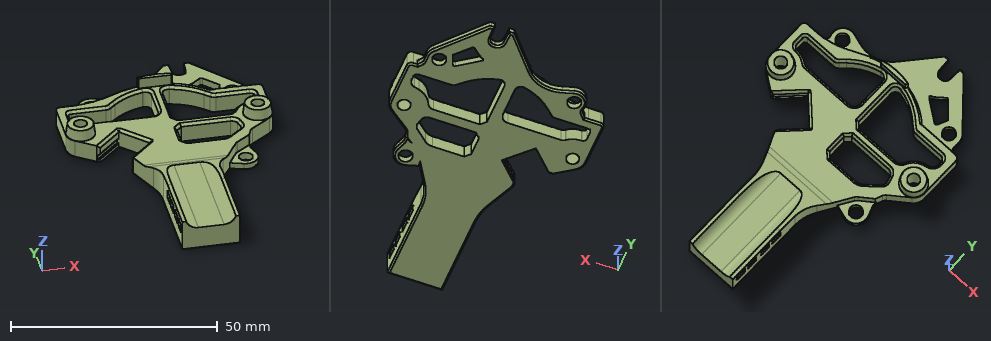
import cadquery as cq
import math

LENGTH = 77.9
WIDTH = 51.2
BODY_TOP = 5.0
PLATE_TOP = 2.0
FOOT_CHAMFER = 0.5
RIM_CHAMFER = 0.7

HALF_WIDTH = WIDTH / 2
SHOULDER_Y = 60.7

BOSS_EDGE_RADIUS = 3.65
BOSS_X = HALF_WIDTH - BOSS_EDGE_RADIUS
BOSS_Y = 48.45
BOSS_TOP = 7.8
BOSS_BASE_RADIUS = 3.6
BOSS_TOP_RADIUS = 3.2
BOSS_HOLE = 3.2
RIGHT_BOSS = (BOSS_X, BOSS_Y)
LEFT_BOSS = (-BOSS_X, BOSS_Y)

LUG_HOLE = 3.4
LUG_RADIUS = 3.3
LEFT_LUG = (-16.1, 64.2)
RIGHT_LUG = (19.0, 64.2)
LOWER_LUG = (16.0, 34.35)

ARCH_CENTRE = (0.0, 48.1)
ARCH_RADIUS = 18.4
ARCH_LEFT_ANGLE = 114
ARCH_RIGHT_ANGLE = 48
ARCH_TOP_LEAN = 0.55
ARCH_FOOT_BLEND = 19.5
ARCH_TOP_SHIFT = (-0.8, -1.8)

WINDOW_ARCH_RADIUS = 16.1
WINDOW_ARCH_OUTER_ANGLE = 47
WINDOW_ARCH_INNER_ANGLE = 78
WINDOW_KINK_RADIUS = 1.95
WINDOW_PEAK_RADIUS = 1.5
WINDOW_SIDE_X = 23.0
WINDOW_SHOULDER_Y = 58.2
BOSS_WALL_RADIUS = 5.85
SPOKE_HALF_WIDTH = 1.4
LEFT_WINDOW_BOTTOM = 52.65
RIGHT_WINDOW_BOTTOM = 49.8
LOWER_WINDOW_TOP = 47.1
LOWER_WINDOW_BOTTOM = 39.4
WINDOW_BEVEL = 1.3

HANDLE_TOP = 8.25
HANDLE_HALF_WIDTH = 7.2
HANDLE_RIGHT_BLEND = 11.45
HANDLE_LEFT_BLEND = 14.0
RAMP_END_Y = 16.9
RAMP_RADIUS = 31.15
RAMP_FOOT_RADIUS = 3.3
TROUGH_FLOOR = 6.15
TROUGH_FLAT_HALF = 3.2
TROUGH_RADIUS = 3.1

TIE_WIDTH = 2.95
TIE_CENTRES_Y = (2.95, 6.9, 11.5, 15.5)
TIE_MOUTH_BOTTOM = 4.45
TIE_MOUTH_TOP = 6.5
TIE_INNER_RADIUS = 10.1

NOTCH_BACK_CENTRE = (-9.35, 44.9)
NOTCH_WIDTH = 8.95
NOTCH_DEPTH = 10.9
NOTCH_ANGLE = -45
GROOVE_DEPTH = 0.5
GROOVE_BOTTOM = 1.0
GROOVE_TOP = 2.0

TAB_TOP = 7.8
TAB_FRONT_Y = 64.8
TAB_HALF_WIDTH = 4.4
TAB_FLARE = 0.3

FORK_X = 8.0
FORK_HALF_WIDTH = 3.1
FORK_MOUTH_HALF = 1.9
FORK_ROOT_HALF = 1.6
FORK_ROOT_Y = 73.0
FORK_ROOT_RADIUS = 1.55
FORK_FLANK_BLEND = 8.9


def polar(centre, radius, angle):
    a = math.radians(angle)
    return centre[0] + radius * math.cos(a), centre[1] + radius * math.sin(a)


def arc_corner(centre, radius, start, end):
    """Rounded corner whose rounding is the arc about `centre` between two angles."""
    reach = radius / math.cos(math.radians(end - start) / 2)
    return (*polar(centre, reach, (start + end) / 2), radius)


def tangent_at_x(centre, radius, angle, x):
    """Point at `x` on the line that touches the circle at `angle`."""
    a = math.radians(angle)
    return x, centre[1] + (radius - (x - centre[0]) * math.cos(a)) / math.sin(a)


def tangent_at_y(centre, radius, angle, y):
    """Point at height `y` on the line that touches the circle at `angle`."""
    a = math.radians(angle)
    return centre[0] + (radius - (y - centre[1]) * math.sin(a)) / math.cos(a), y


def rounded_outline(corners, z=0.0):
    """Closed outline through (x, y, rounding radius) corners; radius 0 keeps a corner sharp."""
    trims = []
    for i, (x, y, radius) in enumerate(corners):
        corner = cq.Vector(x, y)
        back = (cq.Vector(*corners[i - 1][:2]) - corner).normalized()
        ahead = (cq.Vector(*corners[(i + 1) % len(corners)][:2]) - corner).normalized()
        half_angle = back.getAngle(ahead) / 2
        setback = radius / math.tan(half_angle)
        bisector = (back + ahead).normalized()
        middle = corner + bisector * (radius / math.sin(half_angle) - radius)
        trims.append((corner + back * setback, middle, corner + ahead * setback, radius))

    outline = cq.Workplane("XY", origin=(0, 0, z)).moveTo(*trims[0][2].toTuple()[:2])
    for start, middle, end, radius in trims[1:] + trims[:1]:
        outline = outline.lineTo(start.x, start.y)
        if radius > 0:
            outline = outline.threePointArc((middle.x, middle.y), (end.x, end.y))
    return outline.close()


def body_corners():
    arch_left_foot = tangent_at_y(ARCH_CENTRE, ARCH_RADIUS, ARCH_LEFT_ANGLE, SHOULDER_Y)
    arch_right_foot = tangent_at_y(ARCH_CENTRE, ARCH_RADIUS, ARCH_RIGHT_ANGLE, SHOULDER_Y)
    return [
        (-HALF_WIDTH, SHOULDER_Y, 1.2),
        (*arch_left_foot, ARCH_FOOT_BLEND),
        arc_corner(ARCH_CENTRE, ARCH_RADIUS, ARCH_LEFT_ANGLE, ARCH_RIGHT_ANGLE),
        (*arch_right_foot, 0),
        (HALF_WIDTH, SHOULDER_Y, 1.2),
        arc_corner(RIGHT_BOSS, BOSS_EDGE_RADIUS, 0, -55),
        (18.7, 41.4, 1.95),
        (17.8, 39.25, 0),
        (14.0, 36.45, 2.3),
        (HANDLE_HALF_WIDTH, 25.3, HANDLE_RIGHT_BLEND),
        (HANDLE_HALF_WIDTH, 0, 0),
        (-HANDLE_HALF_WIDTH, 0, 0),
        (-HANDLE_HALF_WIDTH, 25.0, HANDLE_LEFT_BLEND),
        (-11.8, 35.2, 0),
        (-11.8, 42.1, 0),
        (-19.3, 42.1, 0),
        arc_corner(LEFT_BOSS, BOSS_EDGE_RADIUS, -125, -180),
    ]


def rear_plate_corners():
    return [
        (-14.0, 56.1, 0),
        (-21.0, 59.8, 0),
        (-18.85, 62.3, 0.55),
        arc_corner(LEFT_LUG, LUG_RADIUS, 190, 73),
        (-6.55, 64.6, FORK_FLANK_BLEND),
        (FORK_X - FORK_HALF_WIDTH, LENGTH, 0.55),
        (FORK_X - FORK_MOUTH_HALF, LENGTH, 0),
        (FORK_X - FORK_ROOT_HALF, FORK_ROOT_Y, FORK_ROOT_RADIUS),
        (FORK_X + FORK_ROOT_HALF, FORK_ROOT_Y, FORK_ROOT_RADIUS),
        (FORK_X + FORK_MOUTH_HALF, LENGTH, 0),
        (FORK_X + FORK_HALF_WIDTH, LENGTH, 0.55),
        arc_corner(RIGHT_LUG, LUG_RADIUS, 41, 0),
        (22.3, 61.9, 1.2),
        (24.15, 59.6, 0),
    ]


def lower_lug_corners():
    return [
        (11.7, 36.6, 0),
        (17.9, 40.1, 0),
        (17.9, 38.3, 0.8),
        arc_corner(LOWER_LUG, LUG_RADIUS, 19, -106),
        (11.5, 32.5, 0),
    ]


def window_outlines():
    """Outlines of the left, right and lower windows below their chamfered rims."""
    arch = (ARCH_CENTRE, WINDOW_ARCH_RADIUS)
    outer = WINDOW_ARCH_OUTER_ANGLE
    inner = WINDOW_ARCH_INNER_ANGLE
    kink_x = tangent_at_y(*arch, outer, WINDOW_SHOULDER_Y)[0]
    peak_y = tangent_at_x(*arch, inner, SPOKE_HALF_WIDTH)[1]
    left = [
        (-WINDOW_SIDE_X, WINDOW_SHOULDER_Y, 0.8),
        (-kink_x, WINDOW_SHOULDER_Y, WINDOW_KINK_RADIUS),
        arc_corner(*arch, 180 - outer, 180 - inner),
        (-SPOKE_HALF_WIDTH, peak_y, WINDOW_PEAK_RADIUS),
        (-SPOKE_HALF_WIDTH, LEFT_WINDOW_BOTTOM, 1.95),
        (-17.75, LEFT_WINDOW_BOTTOM, 1.55),
        arc_corner(LEFT_BOSS, BOSS_WALL_RADIUS, 52, 90),
        (-WINDOW_SIDE_X, BOSS_Y + BOSS_WALL_RADIUS, 0.9),
    ]
    right = [
        (SPOKE_HALF_WIDTH, peak_y, WINDOW_PEAK_RADIUS),
        arc_corner(*arch, inner, outer),
        (kink_x, WINDOW_SHOULDER_Y, WINDOW_KINK_RADIUS),
        (WINDOW_SIDE_X, WINDOW_SHOULDER_Y, 1.0),
        (WINDOW_SIDE_X, 54.75, 1.8),
        arc_corner(RIGHT_BOSS, BOSS_WALL_RADIUS, 105, 155),
        (16.05, RIGHT_WINDOW_BOTTOM, 1.95),
        (SPOKE_HALF_WIDTH + WINDOW_BEVEL, RIGHT_WINDOW_BOTTOM, 0),
        (SPOKE_HALF_WIDTH, RIGHT_WINDOW_BOTTOM + WINDOW_BEVEL, 0),
    ]
    lower = [
        (SPOKE_HALF_WIDTH, LOWER_WINDOW_TOP - WINDOW_BEVEL, 0),
        (SPOKE_HALF_WIDTH + WINDOW_BEVEL, LOWER_WINDOW_TOP, 0),
        (16.05, LOWER_WINDOW_TOP, 1.55),
        (17.05, 43.55, 1.55),
        (12.2, LOWER_WINDOW_BOTTOM, 3.1),
        (SPOKE_HALF_WIDTH + WINDOW_BEVEL, LOWER_WINDOW_BOTTOM, 0),
        (SPOKE_HALF_WIDTH, LOWER_WINDOW_BOTTOM + WINDOW_BEVEL, 0),
    ]
    return left, right, lower


def offset_corners(corners, distance):
    """Corners of the parallel outline `distance` outside the given one (inside if negative)."""
    area = sum(p[0] * q[1] - q[0] * p[1] for p, q in zip(corners, corners[1:] + corners[:1]))
    side = math.copysign(1, area)
    moved = []
    for i, (x, y, radius) in enumerate(corners):
        corner = cq.Vector(x, y)
        arriving = (corner - cq.Vector(*corners[i - 1][:2])).normalized()
        leaving = (cq.Vector(*corners[(i + 1) % len(corners)][:2]) - corner).normalized()
        outward_in = cq.Vector(arriving.y, -arriving.x) * side
        outward_out = cq.Vector(leaving.y, -leaving.x) * side
        mitre = (outward_in + outward_out) * (distance / (1 + outward_in.dot(outward_out)))
        is_convex = arriving.cross(leaving).z * side > 0
        new_radius = radius + (distance if is_convex else -distance)
        moved.append((x + mitre.x, y + mitre.y, new_radius if radius > 0 else 0))
    return moved


def bevel_slab(corners, offset, offset_z, plain_z):
    """Slab from the outline grown by `offset` at one height to the plain one at another."""
    grown = rounded_outline(offset_corners(corners, offset), offset_z).wires().val()
    plain = rounded_outline(corners, plain_z).wires().val()
    return cq.Workplane(cq.Solid.makeLoft([grown, plain], True))


def flared_cutter(corners):
    """Through cutter that widens to a chamfer at the body's top face."""
    shaft = rounded_outline(corners).extrude(BODY_TOP)
    return shaft.union(bevel_slab(corners, RIM_CHAMFER, BODY_TOP, BODY_TOP - RIM_CHAMFER))


def plate_layer(corners):
    """Outline raised to the plate's top, with its bottom edge chamfered."""
    foot = bevel_slab(corners, -FOOT_CHAMFER, 0, FOOT_CHAMFER)
    return foot.union(rounded_outline(corners, FOOT_CHAMFER).extrude(PLATE_TOP - FOOT_CHAMFER))


def footprint():
    base = plate_layer(body_corners())
    return base.union(plate_layer(rear_plate_corners())).union(plate_layer(lower_lug_corners()))


def top_envelope():
    """Side profile under the body top, the ramp and the handle top, across the full width."""
    ramp_centre = (RAMP_END_Y, HANDLE_TOP - RAMP_RADIUS)
    foot_z = BODY_TOP + RAMP_FOOT_RADIUS
    reach = RAMP_RADIUS + RAMP_FOOT_RADIUS
    foot_y = ramp_centre[0] + math.sqrt(reach**2 - (foot_z - ramp_centre[1]) ** 2)
    foot_centre = (foot_y, foot_z)
    slope = math.degrees(math.atan2(foot_z - ramp_centre[1], foot_y - ramp_centre[0]))
    ramp_middle = polar(ramp_centre, RAMP_RADIUS, (90 + slope) / 2)
    ramp_end = polar(ramp_centre, RAMP_RADIUS, slope)
    foot_middle = polar(foot_centre, RAMP_FOOT_RADIUS, (slope - 180 - 90) / 2)
    return (
        cq.Workplane("YZ", origin=(-HALF_WIDTH, 0, 0))
        .moveTo(0, 0)
        .lineTo(0, HANDLE_TOP)
        .lineTo(RAMP_END_Y, HANDLE_TOP)
        .threePointArc(ramp_middle, ramp_end)
        .threePointArc(foot_middle, (foot_y, BODY_TOP))
        .lineTo(LENGTH, BODY_TOP)
        .lineTo(LENGTH, 0)
        .close()
        .extrude(WIDTH)
    )


def upper_body():
    column = rounded_outline(body_corners(), FOOT_CHAMFER).extrude(HANDLE_TOP - FOOT_CHAMFER)
    return column.intersect(top_envelope())


def arch_lean():
    """Sliver outside the arch, which leans inward above the plate and fades out to the left."""
    left_x = polar(ARCH_CENTRE, ARCH_RADIUS, ARCH_LEFT_ANGLE)[0]
    height = BODY_TOP - PLATE_TOP
    block = cq.Workplane("XY", origin=(left_x, SHOULDER_Y, PLATE_TOP)).box(
        HALF_WIDTH - left_x, LENGTH - SHOULDER_Y, height, centered=False
    )
    drum = (
        cq.Workplane("XY", origin=(*ARCH_CENTRE, PLATE_TOP))
        .circle(ARCH_RADIUS)
        .workplane(offset=height)
        .center(*ARCH_TOP_SHIFT)
        .circle(ARCH_RADIUS - ARCH_TOP_SHIFT[1] - ARCH_TOP_LEAN)
        .loft(ruled=True)
    )
    return block.cut(drum)


def boss(centre):
    return (
        cq.Workplane("XY", origin=(*centre, BODY_TOP))
        .circle(BOSS_BASE_RADIUS)
        .workplane(offset=BOSS_TOP - BODY_TOP)
        .circle(BOSS_TOP_RADIUS)
        .loft()
    )


def hole(centre, diameter):
    return cq.Workplane("XY", origin=(*centre, 0)).circle(diameter / 2).extrude(BOSS_TOP)


def tab():
    back_radius = ARCH_RADIUS - ARCH_TOP_LEAN
    front_half = TAB_HALF_WIDTH - TAB_FLARE
    back_y = ARCH_CENTRE[1] + math.sqrt(back_radius**2 - TAB_HALF_WIDTH**2)
    return (
        cq.Workplane("XY", origin=(0, 0, PLATE_TOP))
        .moveTo(-front_half, TAB_FRONT_Y)
        .lineTo(front_half, TAB_FRONT_Y)
        .lineTo(TAB_HALF_WIDTH, back_y)
        .threePointArc((0, ARCH_CENTRE[1] + back_radius), (-TAB_HALF_WIDTH, back_y))
        .close()
        .extrude(TAB_TOP - PLATE_TOP)
    )


def trough():
    rise_end = TROUGH_FLAT_HALF + TROUGH_RADIUS
    left_centre = (-TROUGH_FLAT_HALF, TROUGH_FLOOR + TROUGH_RADIUS)
    right_centre = (TROUGH_FLAT_HALF, TROUGH_FLOOR + TROUGH_RADIUS)
    return (
        cq.Workplane("XZ")
        .moveTo(-rise_end, TROUGH_FLOOR + TROUGH_RADIUS)
        .threePointArc(polar(left_centre, TROUGH_RADIUS, 225), (-TROUGH_FLAT_HALF, TROUGH_FLOOR))
        .lineTo(TROUGH_FLAT_HALF, TROUGH_FLOOR)
        .threePointArc(polar(right_centre, TROUGH_RADIUS, 315), (rise_end, TROUGH_FLOOR + TROUGH_RADIUS))
        .close()
        .extrude(-BOSS_Y)
    )


def tie_tunnel(centre_y):
    """Curved tunnel that dips under the trough from one handle side to the other."""
    centre_z = TIE_MOUTH_TOP + math.sqrt(TIE_INNER_RADIUS**2 - HANDLE_HALF_WIDTH**2)
    outer_radius = math.hypot(HANDLE_HALF_WIDTH, centre_z - TIE_MOUTH_BOTTOM)
    return (
        cq.Workplane("XZ", origin=(0, centre_y + TIE_WIDTH / 2, centre_z))
        .circle(outer_radius)
        .circle(TIE_INNER_RADIUS)
        .extrude(TIE_WIDTH)
    )


def notch():
    """Notch with chamfered rim and side grooves, modelled square and then turned into place."""
    half = NOTCH_WIDTH / 2
    grooved_half = half + GROOVE_DEPTH
    shoulder_z = BODY_TOP - RIM_CHAMFER
    opening = cq.Workplane("XY").rect(NOTCH_WIDTH, 2 * NOTCH_DEPTH).extrude(BODY_TOP)
    flare = (
        cq.Workplane("XY", origin=(0, 0, shoulder_z))
        .rect(NOTCH_WIDTH, 2 * NOTCH_DEPTH)
        .extrude(RIM_CHAMFER, taper=-45)
    )
    grooves = (
        cq.Workplane("XZ", origin=(0, NOTCH_DEPTH, 0))
        .moveTo(-grooved_half, GROOVE_BOTTOM)
        .lineTo(grooved_half, GROOVE_BOTTOM)
        .lineTo(grooved_half, GROOVE_TOP)
        .lineTo(half, GROOVE_TOP + GROOVE_DEPTH)
        .lineTo(-half, GROOVE_TOP + GROOVE_DEPTH)
        .lineTo(-grooved_half, GROOVE_TOP)
        .close()
        .extrude(2 * NOTCH_DEPTH)
    )
    cutter = opening.union(flare).union(grooves).translate((0, -NOTCH_DEPTH, 0))
    return cutter.rotate((0, 0, 0), (0, 0, 1), NOTCH_ANGLE).translate((*NOTCH_BACK_CENTRE, 0))


def plate_opening():
    corners = [
        (12.6, 70.7, 0.5),
        (16.5, 66.6, 0.5),
        (15.1, 63.5, 0.5),
        (8.8, 68.0, 0.3),
        (10.05, 68.6, 0.8),
    ]
    return rounded_outline(corners).extrude(PLATE_TOP)


result = footprint().union(upper_body()).cut(arch_lean()).union(tab())
for boss_centre in (LEFT_BOSS, RIGHT_BOSS):
    result = result.union(boss(boss_centre)).cut(hole(boss_centre, BOSS_HOLE))
for lug_centre in (LEFT_LUG, RIGHT_LUG, LOWER_LUG):
    result = result.cut(hole(lug_centre, LUG_HOLE))
for corners in window_outlines():
    result = result.cut(flared_cutter(corners))
result = result.cut(trough()).cut(notch()).cut(plate_opening())
for tie_y in TIE_CENTRES_Y:
    result = result.cut(tie_tunnel(tie_y))